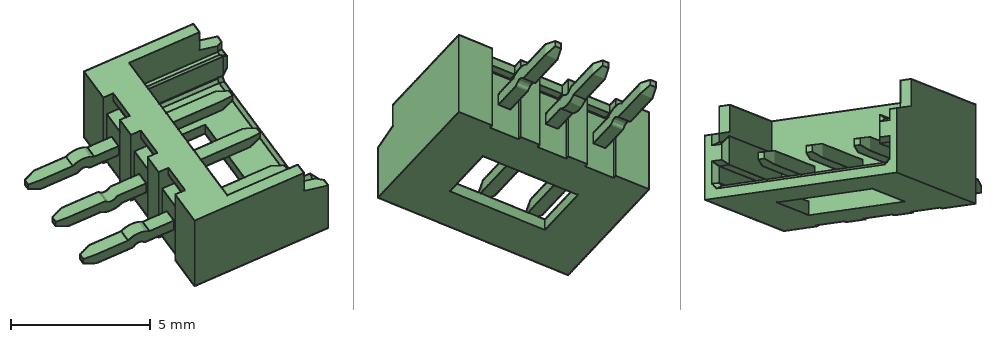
import cadquery as cq
import math

BODY_WIDTH = 8.0
BODY_DEPTH = 5.5
BODY_HEIGHT = 3.65

STEP_Y = 4.5
STEP_DROP = 1.0
STEP_Z = BODY_HEIGHT - STEP_DROP
SHOULDER_BACK_Z = 2.37

SIDE_WALL = 0.45
FRONT_WALL = 1.6
FLOOR = 0.5
FLOOR_BEVEL = 0.12
CAVITY_HALF = BODY_WIDTH / 2 - SIDE_WALL

RIB_PROJECTION = 0.41
RIB_BOTTOM_Z = 1.23
LEDGE_Z = 2.115
LEDGE_WIDTH = 0.15
LIP_RISE = 0.18

MOUTH_DEPTH = 0.26
MOUTH_FLARE = 0.15

PITCH = 2.0
PIN_SIZE = 0.5
PIN_Z = 1.5
OVERALL_DEPTH = 9
PIN_FRONT_Y = BODY_DEPTH - OVERALL_DEPTH
PIN_REAR_Y = 4.905
PIN_TIP_SIZE = 0.25
FRONT_TAPER = 0.45
REAR_TAPER = 0.49
PIN_POSITIONS = [-PITCH, 0, PITCH]

KINK_Y = -1.3
KINK_RISE = 0.15
CREST_RADIUS = 0.71
HOLLOW_RISE = 0.14
HOLLOW_RADIUS = 0.25
HOLLOW_BLEND = 0.13

WINDOW_WIDTH = 2 * PITCH
WINDOW_BACK_Y = 3.84

SLOT_WIDTH = 1.2
SLOT_DEPTH = 0.14
NOTCH_DEPTH = 0.405
NOTCH_HEIGHT = 0.4
POCKET_DEPTH = 0.68
POCKET_BOTTOM_DROP = 1.0
POCKET_BOTTOM_Z = BODY_HEIGHT - POCKET_BOTTOM_DROP


def box(x_center, width, y_start, y_end, z_start, z_end):
    """Axis-aligned block centred on x_center."""
    block = cq.Workplane("XY").box(width, y_end - y_start, z_end - z_start, centered=(True, False, False))
    return block.translate((x_center, y_start, z_start))


def housing_block():
    profile = [
        (0, 0),
        (BODY_DEPTH, 0),
        (BODY_DEPTH, SHOULDER_BACK_Z),
        (STEP_Y, STEP_Z),
        (STEP_Y, BODY_HEIGHT),
        (0, BODY_HEIGHT),
    ]
    return cq.Workplane("YZ").polyline(profile).close().extrude(BODY_WIDTH / 2, both=True)


def cavity_section(flare):
    """Closed outline of the cavity in X and Z, moved outward by flare on every wall."""
    wall_x = CAVITY_HALF + flare
    rib_x = CAVITY_HALF - RIB_PROJECTION + flare
    lip_run = RIB_PROJECTION - LEDGE_WIDTH
    lip_angle = math.atan2(LIP_RISE, lip_run)
    lip_foot_x = CAVITY_HALF - LEDGE_WIDTH - flare * math.tan(lip_angle / 2)
    ledge_z = LEDGE_Z - flare
    lip_z = ledge_z + (lip_foot_x - rib_x) * LIP_RISE / lip_run
    floor_z = FLOOR - flare
    bevel = FLOOR_BEVEL + flare * (2 - math.sqrt(2))
    half = [
        (wall_x - bevel, floor_z),
        (wall_x, floor_z + bevel),
        (wall_x, RIB_BOTTOM_Z + flare),
        (rib_x, RIB_BOTTOM_Z + flare),
        (rib_x, lip_z),
        (lip_foot_x, ledge_z),
        (wall_x, ledge_z),
        (wall_x, BODY_HEIGHT),
    ]
    return half + [(-x, z) for x, z in reversed(half)]


def xz_plane(y):
    return cq.Plane(origin=(0, y, 0), xDir=(1, 0, 0), normal=(0, -1, 0))


def cavity():
    straight = (
        cq.Workplane(xz_plane(BODY_DEPTH))
        .polyline(cavity_section(0))
        .close()
        .extrude(BODY_DEPTH - FRONT_WALL)
    )
    mouth = (
        cq.Workplane(xz_plane(BODY_DEPTH))
        .polyline(cavity_section(MOUTH_FLARE))
        .close()
        .workplane(offset=MOUTH_DEPTH)
        .polyline(cavity_section(0))
        .close()
        .loft(ruled=True)
    )
    return straight.union(mouth)


def slot(x):
    lower = box(x, SLOT_WIDTH, 0, SLOT_DEPTH, 0, BODY_HEIGHT)
    pocket = box(x, SLOT_WIDTH, 0, POCKET_DEPTH, POCKET_BOTTOM_Z, BODY_HEIGHT - NOTCH_HEIGHT)
    notch = box(x, SLOT_WIDTH, 0, NOTCH_DEPTH, BODY_HEIGHT - NOTCH_HEIGHT, BODY_HEIGHT)
    return lower.union(pocket).union(notch)


def taper(y_base, y_tip):
    """Square pyramid frustum from the full pin section to its tip."""
    direction = 1 if y_tip > y_base else -1
    plane = cq.Plane(origin=(0, y_base, 0), xDir=(1, 0, 0), normal=(0, direction, 0))
    return (
        cq.Workplane(plane)
        .rect(PIN_SIZE, PIN_SIZE)
        .workplane(offset=abs(y_tip - y_base))
        .rect(PIN_TIP_SIZE, PIN_TIP_SIZE)
        .loft(ruled=True)
    )


def pin():
    """Square pin along Y on Z = 0, kinked toward +Z between the housing and its front tip."""
    shank_front = PIN_FRONT_Y + FRONT_TAPER
    shank_rear = PIN_REAR_Y - REAR_TAPER
    half = PIN_SIZE / 2
    crest_half = math.sqrt(CREST_RADIUS**2 - (CREST_RADIUS - KINK_RISE) ** 2)
    center_gap = HOLLOW_RADIUS + HOLLOW_BLEND
    blend_half = math.sqrt(center_gap**2 - (center_gap - HOLLOW_RISE) ** 2)
    blend_z = HOLLOW_BLEND - half
    touch_half = blend_half * HOLLOW_RADIUS / center_gap
    touch_drop = (center_gap - HOLLOW_RISE) * HOLLOW_BLEND / center_gap
    hollow_top = (KINK_Y, HOLLOW_RISE - half)
    touch_front = (KINK_Y - touch_half, blend_z - touch_drop)
    touch_rear = (KINK_Y + touch_half, blend_z - touch_drop)
    shank = (
        cq.Workplane("YZ")
        .moveTo(shank_front, -half)
        .lineTo(KINK_Y - blend_half, -half)
        .tangentArcPoint(touch_front, relative=False)
        .threePointArc(hollow_top, touch_rear)
        .tangentArcPoint((KINK_Y + blend_half, -half), relative=False)
        .lineTo(shank_rear, -half)
        .lineTo(shank_rear, half)
        .lineTo(KINK_Y + crest_half, half)
        .threePointArc((KINK_Y, half + KINK_RISE), (KINK_Y - crest_half, half))
        .lineTo(shank_front, half)
        .close()
        .extrude(half, both=True)
    )
    return shank.union(taper(shank_front, PIN_FRONT_Y)).union(taper(shank_rear, PIN_REAR_Y))


housing = housing_block().cut(cavity())
housing = housing.cut(box(0, WINDOW_WIDTH, FRONT_WALL, WINDOW_BACK_Y, 0, FLOOR))
for x in PIN_POSITIONS:
    housing = housing.cut(slot(x))

result = housing
for x in PIN_POSITIONS:
    kink_turn = 180 if x == 0 else 0
    placed = pin().rotate((0, 0, 0), (0, 1, 0), kink_turn)
    result = result.union(placed.translate((x, 0, PIN_Z)))